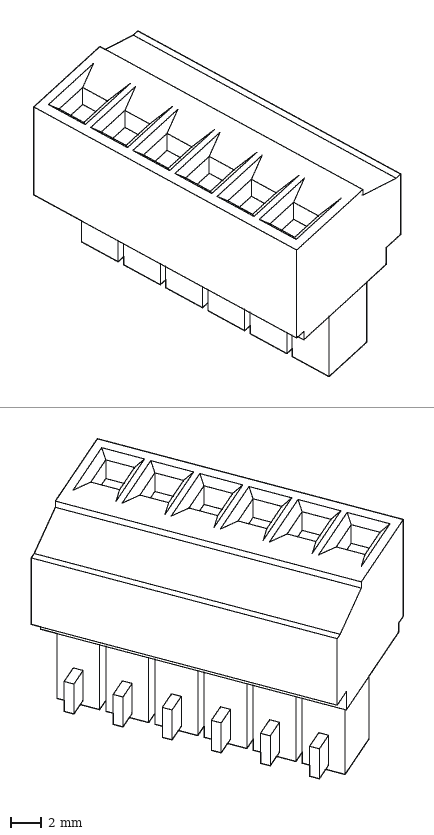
import cadquery as cq


LENGTH = 21.8
DEPTH = 11.18
BODY_HEIGHT = 8.91
TOP_DEPTH = 7.1
STEP_DROP = 0.52
REAR_LIP_DEPTH = 0.5
REAR_LIP_DROP = 1.76
REAR_LEDGE_DEPTH = 1.55
REAR_LEDGE_HEIGHT = 1.55
FRONT_NOTCH = 0.76

WAYS = 6
WAY_WIDTH = 3.05
END_MARGIN = 0.63
PITCH = (LENGTH - 2 * END_MARGIN - WAY_WIDTH) / (WAYS - 1)

POCKET_FRONT = 0.76
POCKET_BACK = 5.6
FUNNEL_DEPTH = 0.5
FUNNEL_INSET = 0.5
FUNNEL_BACK_INSET = 1.8
WELL_DEPTH = 1.57

FINGER_FRONT = 4.3
FINGER_DEPTH = 4.05
FINGER_HEIGHT = 6.58

KEY_WIDTH = 0.7
KEY_DEPTH = 1.55
KEY_HEIGHT = 2.53
KEY_RISE = 0.41

BOTTOM = -BODY_HEIGHT - FINGER_HEIGHT


def block(x_center, width, y_front, depth, z_low, height):
    """Box centred on x_center, starting at y_front and z_low."""
    return cq.Workplane("XY").box(width, depth, height, centered=(True, False, False)).translate(
        (x_center, y_front, z_low)
    )


def housing():
    """Stepped side profile extruded along the row."""
    ledge_z = REAR_LEDGE_HEIGHT - BODY_HEIGHT
    notch_z = FRONT_NOTCH - BODY_HEIGHT
    profile = [
        (0, 0),
        (TOP_DEPTH, 0),
        (TOP_DEPTH, -STEP_DROP),
        (DEPTH - REAR_LIP_DEPTH, -REAR_LIP_DROP),
        (DEPTH, -REAR_LIP_DROP),
        (DEPTH, ledge_z),
        (DEPTH - REAR_LEDGE_DEPTH, ledge_z),
        (DEPTH - REAR_LEDGE_DEPTH, -BODY_HEIGHT),
        (FRONT_NOTCH, -BODY_HEIGHT),
        (FRONT_NOTCH, notch_z),
        (0, notch_z),
    ]
    return cq.Workplane("YZ").polyline(profile).close().extrude(LENGTH / 2, both=True)


def wire_pocket(x_center):
    """Tapered funnel leading down into a straight-sided blind well."""
    well_width = WAY_WIDTH - 2 * FUNNEL_INSET
    well_front = POCKET_FRONT + FUNNEL_INSET
    well_depth = POCKET_BACK - FUNNEL_BACK_INSET - well_front
    mouth_center = (POCKET_FRONT + POCKET_BACK) / 2
    well_center = well_front + well_depth / 2
    funnel = (
        cq.Workplane("XY")
        .center(x_center, mouth_center)
        .rect(WAY_WIDTH, POCKET_BACK - POCKET_FRONT)
        .workplane(offset=-FUNNEL_DEPTH)
        .center(0, well_center - mouth_center)
        .rect(well_width, well_depth)
        .loft(ruled=True)
    )
    well_floor = -FUNNEL_DEPTH - WELL_DEPTH
    well = block(x_center, well_width, well_front, well_depth, well_floor, WELL_DEPTH)
    return funnel.union(well)


def plug_finger(x_center):
    """Finger below the housing with a key on its rear face."""
    finger = block(x_center, WAY_WIDTH, FINGER_FRONT, FINGER_DEPTH, BOTTOM, FINGER_HEIGHT)
    key_front = FINGER_FRONT + FINGER_DEPTH
    key = block(x_center, KEY_WIDTH, key_front, KEY_DEPTH, BOTTOM + KEY_RISE, KEY_HEIGHT)
    return finger.union(key)


result = housing()
for way in range(WAYS):
    way_x = (way - (WAYS - 1) / 2) * PITCH
    result = result.cut(wire_pocket(way_x)).union(plug_finger(way_x))